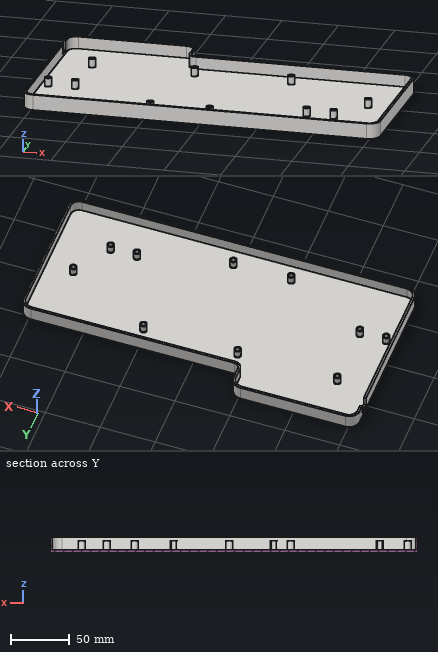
import cadquery as cq

length = 315.0
width = 157.5
height = 14.0
wall = 2.0
floor = 3.0
corner_radius = 9.8

tab_length = 115.0
step_y = 132.3
step_radius = 5.0

notch_front = 132.3
notch_width = 9.8
notch_bottom = 5.7

post_diameter = 6.0
post_hole_diameter = 4.0
post_height = 7.5
rear_row = 113.7
middle_row = 56.5
front_row = 18.3
right_row = 37.2
left_column = 32.8
post_centers = [
    (left_column, rear_row),
    (123.5, rear_row),
    (209.2, rear_row),
    (8.8, middle_row),
    (left_column, middle_row),
    (109.0, front_row),
    (161.5, front_row),
    (242.5, right_row),
    (266.5, right_row),
    (288.0, 72.0),
]


def rounded_outline(inset, base_z, top_z):
    """Solid with the stepped tray outline, moved inward by inset."""
    left = inset
    right = length - inset
    front = inset
    rear = width - inset
    tab_right = tab_length - inset
    step_rear = step_y - inset
    block = (
        cq.Workplane("XY")
        .workplane(offset=base_z)
        .moveTo(left, front)
        .lineTo(right, front)
        .lineTo(right, step_rear)
        .lineTo(tab_right, step_rear)
        .lineTo(tab_right, rear)
        .lineTo(left, rear)
        .close()
        .extrude(top_z - base_z)
    )
    inner_corner = cq.selectors.NearestToPointSelector((tab_right, step_rear, (base_z + top_z) / 2))
    vertical_edges = cq.selectors.ParallelDirSelector(cq.Vector(0, 0, 1))
    outer_corners = cq.selectors.SubtractSelector(vertical_edges, inner_corner)
    block = block.edges(outer_corners).fillet(corner_radius - inset)
    return block.edges(inner_corner).fillet(step_radius + inset)


def cable_notch():
    """Block that opens the left wall down to the notch bottom."""
    return cq.Workplane("XY").box(wall, notch_width, height - notch_bottom, centered=False).translate(
        (0, notch_front, notch_bottom)
    )


def standoffs():
    """Tubes standing on the floor, hollow down to its upper face."""
    return (
        cq.Workplane("XY")
        .workplane(offset=floor)
        .pushPoints(post_centers)
        .circle(post_diameter / 2)
        .circle(post_hole_diameter / 2)
        .extrude(post_height)
    )


tray = rounded_outline(0, 0, height).cut(rounded_outline(wall, floor, height))
result = tray.cut(cable_notch()).union(standoffs())